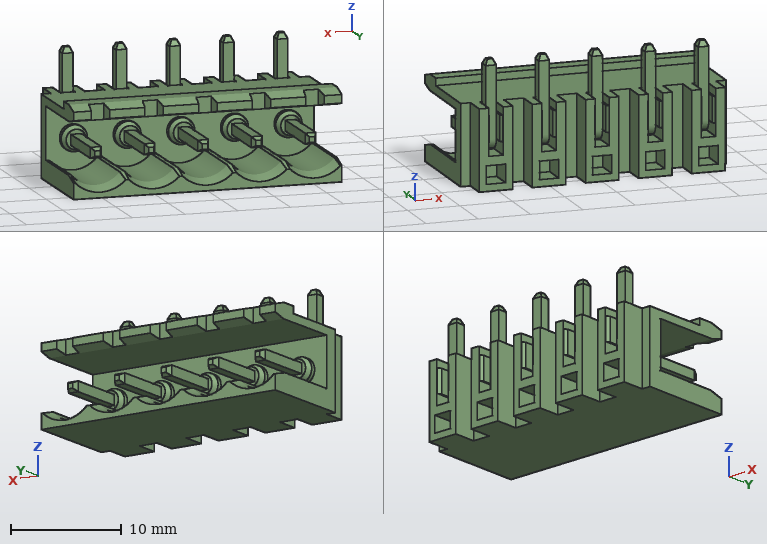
import cadquery as cq
import math

PIN_COUNT = 5
PITCH = 5.08
LENGTH = PIN_COUNT * PITCH
DEPTH = 12.2
HEIGHT = 11.9
pin_positions = [(i + 0.5) * PITCH for i in range(PIN_COUNT)]

TOWER_DEPTH = 2.41
CAVITY_BACK = 3.85
FLOOR_TOP = 1.95
CEILING = 6.93
HOUSING_TOP = 7.77
RIDGE_TOP = 8.48
RIDGE_START = 9.2
RIDGE_SLOPE_START = 10.77
RIDGE_DROP = 0.4
LEAD_IN_LENGTH = 1.52
LEAD_IN_RISE = 0.43
CEILING_LEAD_IN_LENGTH = 1.32
CEILING_LEAD_IN_RISE = 0.35

PIN_AXIS_Z = 3.9
SCOOP_RADIUS = 3.02
SCOOP_MOUTH_RADIUS = 3.38

NOTCH_MOUTH_WIDTH = 1.75
NOTCH_BACK_WIDTH = 1.4
NOTCH_DEPTH = 1.25

TOWER_WIDTH = 3.2
SLOT_WIDTH = 1.37
SLOT_BOTTOM = 3.28
WINDOW_WIDTH = 1.83
WINDOW_BOTTOM = 0.69
WINDOW_HEIGHT = 1.73
RIB_BOTTOM = 4.47
RIB_TOP = 6.95
RIB_FRONT = 0.08
RIB_RAMP = 0.35

PIN_SIZE = 1.02
PIN_TIP_SIZE = 0.5
PIN_TIP_LENGTH = 0.53
PIN_CLEARANCE = 0.03
PIN_FRONT = TOWER_DEPTH - PIN_CLEARANCE - PIN_SIZE
PIN_END = 11.3
PIN_BEND_RADIUS = 1.02
COLLAR_DIAMETER = 2.5
COLLAR_TIP_DIAMETER = 1.88
COLLAR_LENGTH = 1.02
COLLAR_TAPER_LENGTH = 0.53


def centred_box(x, width, y_start, y_end, z_start, z_end):
    """Box centred on x, between the given Y and Z limits."""
    corner = (x - width / 2, y_start, z_start)
    return cq.Workplane("XY").box(width, y_end - y_start, z_end - z_start, centered=False).translate(corner)


def make_housing():
    """C-shaped section, open to the back (+Y), extruded along X."""
    section = [
        (TOWER_DEPTH, 0),
        (DEPTH, 0),
        (DEPTH, FLOOR_TOP - LEAD_IN_RISE),
        (DEPTH - LEAD_IN_LENGTH, FLOOR_TOP),
        (CAVITY_BACK, FLOOR_TOP),
        (CAVITY_BACK, CEILING),
        (DEPTH - CEILING_LEAD_IN_LENGTH, CEILING),
        (DEPTH, CEILING + CEILING_LEAD_IN_RISE),
        (DEPTH, RIDGE_TOP - RIDGE_DROP),
        (RIDGE_SLOPE_START, RIDGE_TOP),
        (RIDGE_START, RIDGE_TOP),
        (RIDGE_START, HOUSING_TOP),
        (TOWER_DEPTH, HOUSING_TOP),
    ]
    return cq.Workplane("YZ").polyline(section).close().extrude(LENGTH)


def make_scoop(x):
    """Round trough with a conical mouth; its lower half is cut from the floor."""
    mouth_start = DEPTH - LEAD_IN_LENGTH
    profile = [
        (0, CAVITY_BACK),
        (SCOOP_RADIUS, CAVITY_BACK),
        (SCOOP_RADIUS, mouth_start),
        (SCOOP_MOUTH_RADIUS, DEPTH),
        (0, DEPTH),
    ]
    trough = cq.Workplane("XY").polyline(profile).close().revolve(360, (0, 0), (0, 1))
    trough = trough.translate((x, 0, PIN_AXIS_Z))
    return trough.intersect(centred_box(x, PITCH, CAVITY_BACK, DEPTH, 0, PIN_AXIS_Z))


def make_notch(x):
    """Tapered notch through the full thickness of the ridge lip."""
    outline = [
        (x - NOTCH_MOUTH_WIDTH / 2, DEPTH),
        (x + NOTCH_MOUTH_WIDTH / 2, DEPTH),
        (x + NOTCH_BACK_WIDTH / 2, DEPTH - NOTCH_DEPTH),
        (x - NOTCH_BACK_WIDTH / 2, DEPTH - NOTCH_DEPTH),
    ]
    lip_bottom = cq.Workplane("XY").workplane(offset=CEILING)
    return lip_bottom.polyline(outline).close().extrude(RIDGE_TOP - CEILING)


def make_grip_rib(x, side):
    """Rib from a slot wall to the pin flank, ramped at the front; side is -1 or 1."""
    wall = x + side * SLOT_WIDTH / 2
    flank = x + side * PIN_SIZE / 2
    outline = [
        (wall, RIB_FRONT),
        (flank, RIB_FRONT + RIB_RAMP),
        (flank, TOWER_DEPTH),
        (wall, TOWER_DEPTH),
    ]
    base = cq.Workplane("XY").workplane(offset=RIB_BOTTOM)
    return base.polyline(outline).close().extrude(RIB_TOP - RIB_BOTTOM)


def make_tower(x):
    """Block in front of the housing with the pin slot, grip ribs and window."""
    window_top = WINDOW_BOTTOM + WINDOW_HEIGHT
    tower = centred_box(x, TOWER_WIDTH, 0, TOWER_DEPTH, 0, HOUSING_TOP)
    tower = tower.cut(centred_box(x, SLOT_WIDTH, 0, TOWER_DEPTH, SLOT_BOTTOM, HOUSING_TOP))
    tower = tower.cut(centred_box(x, WINDOW_WIDTH, 0, TOWER_DEPTH, WINDOW_BOTTOM, window_top))
    for side in (-1, 1):
        tower = tower.union(make_grip_rib(x, side))
    return tower


def make_pin_tip():
    """Blunt pyramid standing on the XY plane."""
    tip = cq.Workplane("XY").rect(PIN_SIZE, PIN_SIZE).workplane(offset=PIN_TIP_LENGTH)
    return tip.rect(PIN_TIP_SIZE, PIN_TIP_SIZE).loft(combine=True)


def make_pin(x):
    """Square pin bent through 90 degrees, with blunt pyramid tips."""
    bottom = PIN_AXIS_Z - PIN_SIZE / 2
    top = PIN_AXIS_Z + PIN_SIZE / 2
    back = PIN_FRONT + PIN_SIZE
    mating_end = PIN_END - PIN_TIP_LENGTH
    upright_end = HEIGHT - PIN_TIP_LENGTH
    bend_reach = PIN_BEND_RADIUS * (1 - math.sqrt(0.5))
    shaft = (
        cq.Workplane("YZ")
        .moveTo(mating_end, bottom)
        .lineTo(PIN_FRONT + PIN_BEND_RADIUS, bottom)
        .threePointArc(
            (PIN_FRONT + bend_reach, bottom + bend_reach),
            (PIN_FRONT, bottom + PIN_BEND_RADIUS),
        )
        .lineTo(PIN_FRONT, upright_end)
        .lineTo(back, upright_end)
        .lineTo(back, top)
        .lineTo(mating_end, top)
        .close()
        .extrude(PIN_SIZE)
        .translate((x - PIN_SIZE / 2, 0, 0))
    )
    upright_tip = make_pin_tip().translate((x, PIN_FRONT + PIN_SIZE / 2, upright_end))
    mating_tip = make_pin_tip().rotate((0, 0, 0), (1, 0, 0), -90).translate((x, mating_end, PIN_AXIS_Z))
    return shaft.union(upright_tip).union(mating_tip)


def make_collar(x):
    """Round collar at the root of the mating leg, tapered at its free end."""
    profile = [
        (0, 0),
        (COLLAR_DIAMETER / 2, 0),
        (COLLAR_DIAMETER / 2, COLLAR_LENGTH - COLLAR_TAPER_LENGTH),
        (COLLAR_TIP_DIAMETER / 2, COLLAR_LENGTH),
        (0, COLLAR_LENGTH),
    ]
    collar = cq.Workplane("XY").polyline(profile).close().revolve(360, (0, 0), (0, 1))
    return collar.translate((x, CAVITY_BACK, PIN_AXIS_Z))


result = make_housing()
for pin_x in pin_positions:
    result = result.cut(make_scoop(pin_x)).cut(make_notch(pin_x))
    result = result.union(make_tower(pin_x))
    result = result.union(make_collar(pin_x))
    result = result.union(make_pin(pin_x))